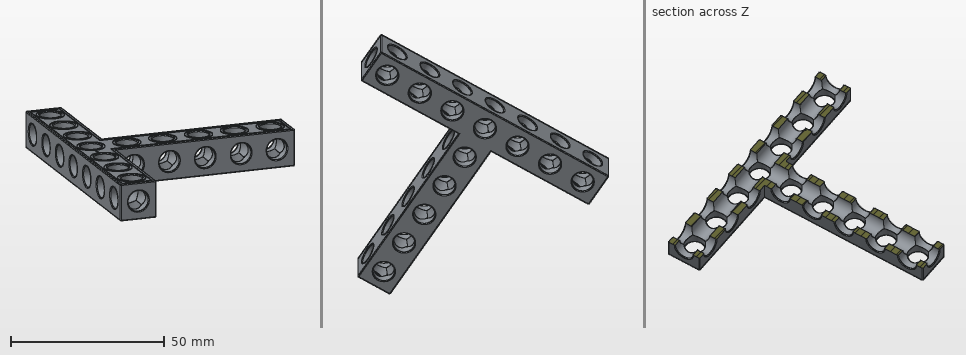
import cadquery as cq

pitch = 12.5
bar_units = 7
stem_units = 5
hole_diameter = 7.0
hole_chamfer = 0.3
edge_chamfer = 0.3

rim_width = 1.15
collar_diameter = 9.2
recess_depth = 0.2

groove_width = 0.2
groove_depth = 0.2

half = pitch / 2
bar_length = bar_units * pitch
stem_length = stem_units * pitch
recess_floor = half - recess_depth
bar_centers = [(i - (bar_units - 1) / 2) * pitch for i in range(bar_units)]
stem_centers = [(i + 1) * pitch for i in range(stem_units)]
hole_grid = [(x, 0) for x in bar_centers] + [(0, y) for y in stem_centers]


def tee_prism(inset, bottom, height):
    """T-shaped prism whose outline is moved inward by `inset`."""
    width = pitch - 2 * inset
    stem_end = half + stem_length - inset
    bar = cq.Workplane("XY").box(bar_length - 2 * inset, width, height)
    stem = cq.Workplane("XY").box(width, stem_end, height).translate((0, stem_end / 2, 0))
    return bar.union(stem).translate((0, 0, bottom + height / 2))


def beveled_body():
    """Solid T with bevelled edges; the upright edges where bar and stem meet stay sharp."""
    inner_corners = cq.selectors.BoxSelector(
        (-half - edge_chamfer, half - edge_chamfer, -edge_chamfer),
        (half + edge_chamfer, half + edge_chamfer, edge_chamfer),
    )
    all_edges = cq.selectors.StringSyntaxSelector("#Z or |Z")
    outer_edges = cq.selectors.SubtractSelector(all_edges, inner_corners)
    return tee_prism(0, -half, pitch).edges(outer_edges).chamfer(edge_chamfer)


def top_recess():
    """Recess volume inside the rim, leaving the collars standing."""
    collars = cq.Workplane("XY", origin=(0, 0, recess_floor)).pushPoints(hole_grid)
    collars = collars.circle(collar_diameter / 2).extrude(recess_depth)
    return tee_prism(rim_width, recess_floor, recess_depth).cut(collars)


def collar_groove():
    """Groove between the collar at the origin and its +X neighbour."""
    groove = cq.Workplane("XY").box(pitch - collar_diameter, groove_width, groove_depth)
    return groove.translate((half, 0, recess_floor - groove_depth / 2))


def chamfered_drill(length):
    """Drill along Z, centred on the origin, flared at both ends."""
    radius = hole_diameter / 2
    flared_radius = radius + hole_chamfer
    end = length / 2
    profile = [
        (0, -end),
        (flared_radius, -end),
        (radius, -end + hole_chamfer),
        (radius, end - hole_chamfer),
        (flared_radius, end),
        (0, end),
    ]
    return cq.Workplane("XZ").polyline(profile).close().revolve(360, (0, 0), (0, 1))


def drill_along_x(length):
    return chamfered_drill(length).rotate((0, 0, 0), (0, 1, 0), 90)


def drill_along_y(length):
    return chamfered_drill(length).rotate((0, 0, 0), (1, 0, 0), 90)


def drill_holes(body):
    """Drill every grid hole along Z, the cross holes, and the two lengthwise bores."""
    for x, y in hole_grid:
        body = body.cut(chamfered_drill(pitch).translate((x, y, 0)))
    for x in bar_centers:
        if x != 0:
            body = body.cut(drill_along_y(pitch).translate((x, 0, 0)))
    for y in stem_centers:
        body = body.cut(drill_along_x(pitch).translate((0, y, 0)))

    body = body.cut(drill_along_x(bar_length))
    stem_bore = drill_along_y(pitch + stem_length).translate((0, stem_length / 2, 0))
    return body.cut(stem_bore)


body = beveled_body().cut(top_recess()).cut(collar_groove())
result = drill_holes(body)